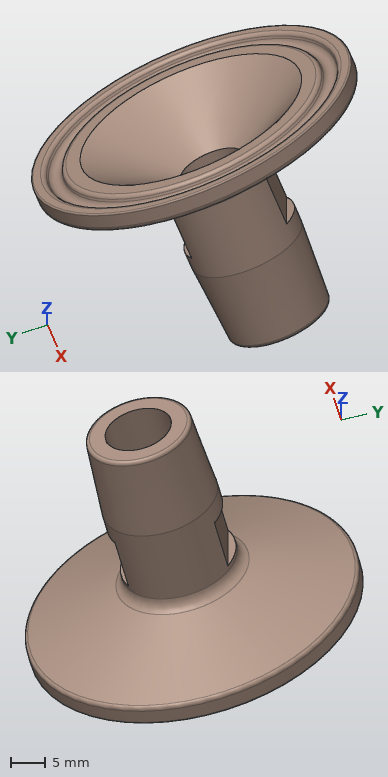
import cadquery as cq
import math

OVERALL_LENGTH = 35.0
TAPER_START = 22.0
FLAT_START = 11.0
FLAT_LENGTH = 8.0

FLANGE_RADIUS = 50.5 / 2
FLANGE_EDGE = 2.85
FLANGE_SLOPE = 20.0
FACE_EDGE_FILLET = 0.25
BACK_EDGE_FILLET = 0.75

STEM_RADIUS = 17.5 / 2
NECK_FILLET = 2.0
TAPER_RATIO = 1 / 16
END_FILLET = 0.6
ACROSS_FLATS = 15.0

BORE_RADIUS = 5.0
FUNNEL_RADIUS = 35.0 / 2
FUNNEL_DEPTH = 8.3

MATCH_TOLERANCE = 0.01

GROOVE_RADIUS = 43.5 / 2
GROOVE_HALF_WIDTH = 2.0
GROOVE_DEPTH = 1.6
GROOVE_FLOOR_RADIUS = 1.2
GROOVE_LIP_RADIUS = 0.8


def revolve_about_x(profile):
    """Spin a closed XZ profile (X axial, Z radial) about the X axis."""
    return profile.close().revolve(360, (0, 0, 0), (1, 0, 0))


def round_circle(solid, axial, radius):
    """Fillet the circular edge centred on the X axis at the given axial position."""
    centre = cq.Vector(axial, 0, 0)
    circles = solid.edges("%CIRCLE").vals()
    edges = [edge for edge in circles if (edge.arcCenter() - centre).Length < MATCH_TOLERANCE]
    return solid.newObject(edges).fillet(radius)


def make_body():
    """Solid flange, neck and tapered stem."""
    cone_length = (FLANGE_RADIUS - STEM_RADIUS) * math.tan(math.radians(FLANGE_SLOPE))
    back_cone_end = FLANGE_EDGE + cone_length
    end_radius = STEM_RADIUS - (OVERALL_LENGTH - TAPER_START) * TAPER_RATIO
    profile = (
        cq.Workplane("XZ")
        .moveTo(0, 0)
        .lineTo(0, FLANGE_RADIUS)
        .lineTo(FLANGE_EDGE, FLANGE_RADIUS)
        .lineTo(back_cone_end, STEM_RADIUS)
        .lineTo(TAPER_START, STEM_RADIUS)
        .lineTo(OVERALL_LENGTH, end_radius)
        .lineTo(OVERALL_LENGTH, 0)
    )
    body = revolve_about_x(profile)

    body = round_circle(body, 0, FACE_EDGE_FILLET)
    body = round_circle(body, FLANGE_EDGE, BACK_EDGE_FILLET)
    body = round_circle(body, back_cone_end, NECK_FILLET)
    return round_circle(body, OVERALL_LENGTH, END_FILLET)


def make_passage():
    """Conical funnel opening at the clamp face and running into the bore."""
    profile = (
        cq.Workplane("XZ")
        .moveTo(0, 0)
        .lineTo(0, FUNNEL_RADIUS)
        .lineTo(FUNNEL_DEPTH, BORE_RADIUS)
        .lineTo(OVERALL_LENGTH, BORE_RADIUS)
        .lineTo(OVERALL_LENGTH, 0)
    )
    return revolve_about_x(profile)


def groove_wall_angle():
    """Angle between groove wall and clamp face for a wall tangent to lip and floor arcs."""
    radii = GROOVE_LIP_RADIUS + GROOVE_FLOOR_RADIUS
    rise = radii - GROOVE_DEPTH
    centre_distance = math.hypot(GROOVE_HALF_WIDTH, rise)
    return math.atan2(GROOVE_HALF_WIDTH, rise) - math.acos(radii / centre_distance)


def make_groove():
    """Ring of the gasket groove."""
    angle = groove_wall_angle()
    floor_centre = GROOVE_DEPTH - GROOVE_FLOOR_RADIUS

    def lip_point(side, turn):
        """Point on the lip arc after turning from the clamp face into the groove."""
        axial = GROOVE_LIP_RADIUS * (1 - math.cos(turn))
        offset = GROOVE_HALF_WIDTH - GROOVE_LIP_RADIUS * math.sin(turn)
        return (axial, GROOVE_RADIUS + side * offset)

    def floor_point(side):
        """Point where the floor arc meets the wall."""
        axial = floor_centre + GROOVE_FLOOR_RADIUS * math.cos(angle)
        offset = GROOVE_FLOOR_RADIUS * math.sin(angle)
        return (axial, GROOVE_RADIUS + side * offset)

    profile = (
        cq.Workplane("XZ")
        .moveTo(*lip_point(1, 0))
        .threePointArc(lip_point(1, angle / 2), lip_point(1, angle))
        .lineTo(*floor_point(1))
        .threePointArc((GROOVE_DEPTH, GROOVE_RADIUS), floor_point(-1))
        .lineTo(*lip_point(-1, angle))
        .threePointArc(lip_point(-1, angle / 2), lip_point(-1, 0))
    )
    return revolve_about_x(profile)


def make_flat_cut(side):
    """Block that leaves a wrench flat on the +Y or -Y side of the stem."""
    block_size = 2 * STEM_RADIUS
    block = cq.Workplane("XY").box(FLAT_LENGTH, block_size, block_size)
    middle_x = FLAT_START + FLAT_LENGTH / 2
    middle_y = side * (ACROSS_FLATS + block_size) / 2
    return block.translate((middle_x, middle_y, 0))


result = make_body().cut(make_passage()).cut(make_groove())
for side in (1, -1):
    result = result.cut(make_flat_cut(side))